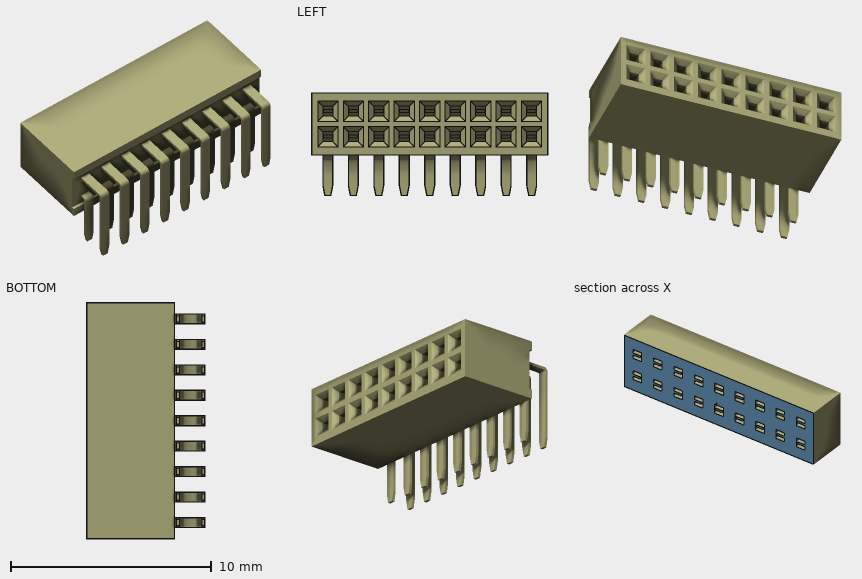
import cadquery as cq

pitch = 1.27
pins_per_row = 9
row_count = 2

end_margin = 0.81
housing_depth = 4.38
housing_width = (pins_per_row - 1) * pitch + 2 * end_margin
housing_height = 3.1
rear_rib_height = 0.5
rear_recess_depth = 0.15

mouth_size = 1.0
bore_size = 0.5
mouth_depth = (mouth_size - bore_size) / 2
socket_depth = 2.5

pin_width = 0.5
pin_thickness = 0.15
pin_tip_width = 0.3
pin_taper_length = 0.5
pin_drop = 2.02
bend_outer_radius = 0.22
bend_inner_radius = bend_outer_radius - pin_thickness
upper_pin_reach = 5.89
tongue_width = 0.45
tongue_length = 0.5

column_positions = [(i - (pins_per_row - 1) / 2) * pitch for i in range(pins_per_row)]
row_heights = [housing_height / 2 + (r - (row_count - 1) / 2) * pitch for r in range(row_count)]
rear_wall_x = housing_depth - rear_recess_depth


def make_housing():
    block = cq.Workplane("XY").box(
        housing_depth, housing_width, housing_height, centered=(False, True, False)
    )
    recess = (
        cq.Workplane("XY")
        .box(
            rear_recess_depth,
            housing_width,
            housing_height - 2 * rear_rib_height,
            centered=(False, True, False),
        )
        .translate((rear_wall_x, 0, rear_rib_height))
    )
    return block.cut(recess)


def make_socket_cutter(y, z):
    mouth = (
        cq.Workplane("YZ", origin=(0, y, z))
        .rect(mouth_size, mouth_size)
        .workplane(offset=mouth_depth)
        .rect(bore_size, bore_size)
        .loft(ruled=True)
    )
    bore = (
        cq.Workplane("YZ", origin=(mouth_depth, y, z))
        .rect(bore_size, bore_size)
        .extrude(socket_depth - mouth_depth)
    )
    return mouth.union(bore)


def make_tongue(y, z):
    return (
        cq.Workplane("YZ", origin=(socket_depth - tongue_length, y, z))
        .rect(tongue_width, pin_thickness)
        .extrude(tongue_length)
    )


def make_pin(y, z, reach):
    """Bent strip at one column and row; reach is the X of its outer vertical face."""
    start_x = socket_depth
    top_z = z + pin_thickness / 2
    side_profile = (
        cq.Workplane("XZ", origin=(0, y, 0))
        .moveTo(start_x, top_z)
        .lineTo(reach - bend_outer_radius, top_z)
        .radiusArc((reach, top_z - bend_outer_radius), bend_outer_radius)
        .lineTo(reach, -pin_drop)
        .lineTo(reach - pin_thickness, -pin_drop)
        .lineTo(reach - pin_thickness, top_z - bend_outer_radius)
        .radiusArc((reach - bend_outer_radius, top_z - pin_thickness), -bend_inner_radius)
        .lineTo(start_x, top_z - pin_thickness)
        .close()
        .extrude(pin_width / 2, both=True)
    )
    taper_start_z = -pin_drop + pin_taper_length
    face_outline = (
        cq.Workplane("YZ", origin=(start_x, y, 0))
        .moveTo(-pin_width / 2, top_z)
        .lineTo(-pin_width / 2, taper_start_z)
        .lineTo(-pin_tip_width / 2, -pin_drop)
        .lineTo(pin_tip_width / 2, -pin_drop)
        .lineTo(pin_width / 2, taper_start_z)
        .lineTo(pin_width / 2, top_z)
        .close()
        .extrude(reach - start_x)
    )
    return side_profile.intersect(face_outline)


housing = make_housing()
contacts = []
for row, row_z in enumerate(row_heights):
    row_reach = upper_pin_reach - (row_count - 1 - row) * pitch
    for column_y in column_positions:
        housing = housing.cut(make_socket_cutter(column_y, row_z))
        contacts.append(make_tongue(column_y, row_z).val())
        contacts.append(make_pin(column_y, row_z, row_reach).val())

result = cq.Workplane("XY").newObject([housing.val().fuse(*contacts)])